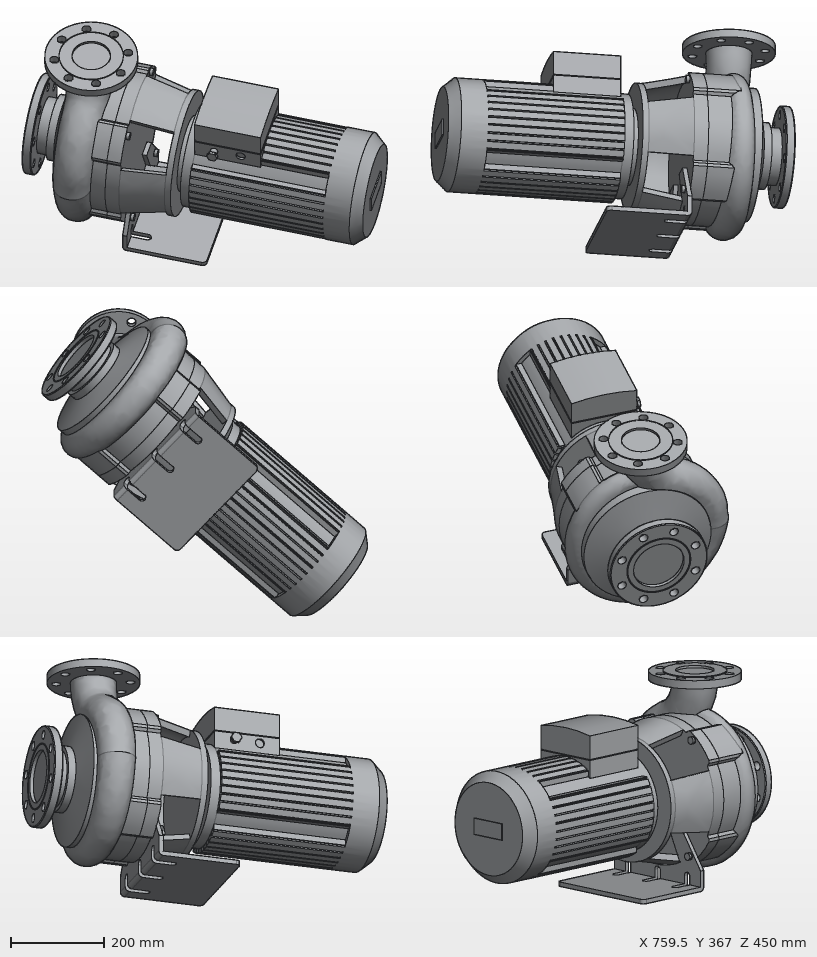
import cadquery as cq
import math


SUCTION_FACE_X = -125.0
SUCTION_NECK_X = -105.0
SUCTION_COLLAR_X = -81.0
COVER_HUB_X = -64.0
COVER_RIM_X = -47.0
CASING_BACK_X = 74.0
LANTERN_SEAT_X = 104.7
LANTERN_PLATE_X = 200.0
LANTERN_BACK_X = 213.4
MOTOR_FLANGE_X = 228.5
FINS_START_X = 249.7
COWL_START_X = 547.6
COWL_TAPER_X = 607.0
COWL_END_X = 631.5
MOTOR_END_X = 634.5

SUCTION_FLANGE_DIAMETER = 220.0
SUCTION_BOLT_CIRCLE = 180.0
SUCTION_FACE_DIAMETER = 144.3
FACE_GROOVE_WIDTH = 2.0
FACE_GROOVE_DEPTH = 1.0
SUCTION_BORE_DIAMETER = 114.3
SUCTION_BORE_DEPTH = 8.0
SUCTION_NECK_DIAMETER = 124.3
SUCTION_COLLAR_DIAMETER = 144.3
SUCTION_EDGE_CHAMFER = 2.0
DISCHARGE_FLANGE_DIAMETER = 200.0
DISCHARGE_BOLT_CIRCLE = 160.0
DISCHARGE_FACE_DIAMETER = 138.0
DISCHARGE_BORE_DIAMETER = 82.5
DISCHARGE_BORE_DEPTH = 5.0
DISCHARGE_FACE_Z = 250.0
RAISED_FACE_HEIGHT = 2.0
FLANGE_THICKNESS = 20.0
FLANGE_HOLE_DIAMETER = 19.0
FLANGE_HOLE_COUNT = 8

COVER_RIM_RADIUS = 143.8
CASING_RADIUS = 160.0
TONGUE_ANGLE = 100.0
VOLUTE_STATIONS = [
    (TONGUE_ANGLE, 174.0, 24.0),
    (45.0, 171.5, 27.0),
    (0.0, 170.0, 30.0),
    (-45.0, 176.5, 32.8),
    (-90.0, 183.5, 35.6),
    (-135.0, 190.25, 38.4),
    (-180.0, 196.98, DISCHARGE_BORE_DIAMETER / 2),
]
NECK_BEND_RADIUS = 140.0
NECK_TOP_RADIUS = 50.0
NECK_STATIONS_PER_BEND = 5

PAD_ANGLES = [45.0, 135.0, 225.0, 315.0]
PAD_FLANK = [(158.0, 16.6), (160.0, 16.6), (167.0, 15.2), (170.6, 13.2)]

LANTERN_END_RADIUS = 138.0
LANTERN_WALL = 15.0
WINDOW_HALF_ANGLE = 20.0
STRUT_HALF_ANGLE = 45.0 - WINDOW_HALF_ANGLE

FOOT_THICKNESS = 10.0
FOOT_HALF_WIDTH = 130.0
FOOT_BOTTOM_Z = -200.0
FOOT_END_X = 290.0
FOOT_CORNER_RADIUS = 10.0
FOOT_BEND_RADIUS = 9.9
FOOT_SHOULDER_Z = -154.6
FOOT_TOP_HALF_WIDTH = 70.6
FOOT_TOP_Z = -68.0
FOOT_SLOT_WIDTH = 16.0
FOOT_SLOT_SPACING = 89.0
FOOT_SLOT_TOP_Z = -163.8
FOOT_SLOT_END_X = 157.3

BOLT_Y = 97.0
BOLT_Z = 127.0
BOLT_HEAD_DIAMETER = 16.0
BOLT_HEAD_HEIGHT = 7.5
BOLT_SHANK_DIAMETER = 13.0

MOTOR_NECK_DIAMETER = 166.0
MOTOR_CORE_DIAMETER = 226.0
MOTOR_DIAMETER = 246.0
COWL_END_RADIUS = 102.0
BADGE_WIDTH = 84.0
BADGE_HEIGHT = 36.0
FIN_BANK_HALF_WIDTH = 70.0
FIN_GROOVE_WIDTH = 3.6
FIN_GROOVE_PITCH = 8.3
FIN_GROOVES_EACH_SIDE = 4
FIN_BANK_ANGLES = [0.0, 90.0, 180.0, 270.0]

BOX_LENGTH = 147.0
BOX_WIDTH = 148.0
BOX_SIDE_TOP_Z = 179.0
BOX_CROWN_Z = 186.0
BOX_LID_Z = 125.6
LID_GROOVE = 1.5
GLAND_Z = 108.5
GLAND_X = 293.5
GLAND_NECK_DIAMETER = 16.0
GLAND_NECK_LENGTH = 13.0
GLAND_HEX_ACROSS_CORNERS = 24.0
GLAND_HEX_LENGTH = 6.5
CABLE_HOLE_X = 352.3
CABLE_HOLE_DIAMETER = 20.0
CABLE_HOLE_DEPTH = 5.0


def disc(x_start, x_end, diameter):
    """Cylinder on the pump axis."""
    return cq.Workplane("YZ", origin=(x_start, 0, 0)).circle(diameter / 2).extrude(x_end - x_start)


def cross_box(x_start, x_end, y_start, y_end, z_start, z_end):
    """Box given by its limits."""
    size = (x_end - x_start, y_end - y_start, z_end - z_start)
    return cq.Workplane("XY", origin=(x_start, y_start, z_start)).box(*size, centered=False)


def polar_yz(radius, degrees):
    """Point at an angle from +Y toward +Z."""
    angle = math.radians(degrees)
    return (radius * math.cos(angle), radius * math.sin(angle))


def sector(x_start, x_end, inner_radius, outer_radius, mid_angle, half_angle):
    """Ring sector between two positions on the pump axis, with radial sides."""
    low, high = mid_angle - half_angle, mid_angle + half_angle
    outline = cq.Workplane("YZ", origin=(x_start, 0, 0)).moveTo(*polar_yz(inner_radius, low))
    outline = outline.lineTo(*polar_yz(outer_radius, low))
    outline = outline.threePointArc(polar_yz(outer_radius, mid_angle), polar_yz(outer_radius, high))
    outline = outline.lineTo(*polar_yz(inner_radius, high))
    if inner_radius > 0:
        outline = outline.threePointArc(polar_yz(inner_radius, mid_angle), polar_yz(inner_radius, low))
    return outline.close().extrude(x_end - x_start)


def pads(x_start, x_end):
    """Four raised pads around the pump axis."""
    crown_radius = PAD_FLANK[-1][0]
    solids = cq.Workplane("YZ")
    for mid_angle in PAD_ANGLES:
        rising = [polar_yz(radius, mid_angle - half) for radius, half in PAD_FLANK]
        falling = [polar_yz(radius, mid_angle + half) for radius, half in reversed(PAD_FLANK)]
        outline = cq.Workplane("YZ", origin=(x_start, 0, 0)).polyline(rising)
        outline = outline.threePointArc(polar_yz(crown_radius, mid_angle), falling[0])
        for point in falling[1:]:
            outline = outline.lineTo(*point)
        solids = solids.add(outline.close().extrude(x_end - x_start))
    return solids


def add_pads(body, x_start, x_end):
    for pad in pads(x_start, x_end).vals():
        body = body.union(cq.Workplane(pad))
    return body


def ring_section(y, z, radius, heading):
    """Circular tube section whose normal lies in the YZ plane at an angle from +Y."""
    angle = math.radians(heading)
    normal = (0, math.cos(angle), math.sin(angle))
    plane = cq.Plane(origin=(0, y, z), xDir=(1, 0, 0), normal=normal)
    return cq.Workplane(plane).circle(radius).wire().val()


def volute():
    """Tube that winds around the axis from the tongue over +Y and the bottom to -Y."""
    sections = []
    for turn, outer_radius, tube_radius in VOLUTE_STATIONS:
        y, z = polar_yz(outer_radius - tube_radius, turn)
        sections.append(ring_section(y, z, tube_radius, turn - 90))
    return cq.Workplane(cq.Solid.makeLoft(sections))


def discharge_neck():
    """S-shaped tube of two tangent bends from the volute end up to the discharge flange."""
    outer_radius, start_radius = VOLUTE_STATIONS[-1][1:]
    start_y = -(outer_radius - start_radius)
    end_z = DISCHARGE_FACE_Z - FLANGE_THICKNESS
    first_center_y = start_y + NECK_BEND_RADIUS
    second_radius = (end_z**2 + first_center_y**2 - NECK_BEND_RADIUS**2) / (
        2 * (NECK_BEND_RADIUS - first_center_y)
    )
    bend = math.degrees(math.atan2(end_z, second_radius + first_center_y))
    stations = []
    for step in range(NECK_STATIONS_PER_BEND + 1):
        turn = bend * step / NECK_STATIONS_PER_BEND
        y, z = polar_yz(NECK_BEND_RADIUS, 180 - turn)
        stations.append((first_center_y + y, z, 90 - turn))
    for step in range(1, NECK_STATIONS_PER_BEND + 1):
        turn = bend * (1 - step / NECK_STATIONS_PER_BEND)
        y, z = polar_yz(second_radius, -turn)
        stations.append((y - second_radius, end_z + z, 90 - turn))
    sections = []
    for index, (y, z, heading) in enumerate(stations):
        share = index / (len(stations) - 1)
        radius = start_radius + share * (NECK_TOP_RADIUS - start_radius)
        sections.append(ring_section(y, z, radius, heading))
    return cq.Workplane(cq.Solid.makeLoft(sections))


def flange_holes(plane, origin, bolt_circle):
    return (
        cq.Workplane(plane, origin=origin)
        .polarArray(bolt_circle / 2, 180 / FLANGE_HOLE_COUNT, 360, FLANGE_HOLE_COUNT)
        .circle(FLANGE_HOLE_DIAMETER / 2)
        .extrude(FLANGE_THICKNESS)
    )


def suction_side():
    flange = disc(SUCTION_FACE_X, SUCTION_NECK_X, SUCTION_FLANGE_DIAMETER)
    flange = flange.edges().chamfer(SUCTION_EDGE_CHAMFER)
    flange = flange.cut(flange_holes("YZ", (SUCTION_FACE_X, 0, 0), SUCTION_BOLT_CIRCLE))
    flange = flange.union(disc(SUCTION_NECK_X, SUCTION_COLLAR_X, SUCTION_NECK_DIAMETER))
    flange = flange.union(disc(SUCTION_COLLAR_X, COVER_HUB_X, SUCTION_COLLAR_DIAMETER))
    groove_floor_x = SUCTION_FACE_X + FACE_GROOVE_DEPTH
    inner_diameter = SUCTION_FACE_DIAMETER - 2 * FACE_GROOVE_WIDTH
    face_groove = disc(SUCTION_FACE_X, groove_floor_x, SUCTION_FACE_DIAMETER)
    face_groove = face_groove.cut(disc(SUCTION_FACE_X, groove_floor_x, inner_diameter))
    flange = flange.cut(face_groove)
    bore = disc(SUCTION_FACE_X, SUCTION_FACE_X + SUCTION_BORE_DEPTH, SUCTION_BORE_DIAMETER)
    return flange.cut(bore)


def discharge_flange():
    base_z = DISCHARGE_FACE_Z - FLANGE_THICKNESS
    rim_height = FLANGE_THICKNESS - RAISED_FACE_HEIGHT
    base = cq.Workplane("XY", origin=(0, 0, base_z))
    flange = base.circle(DISCHARGE_FLANGE_DIAMETER / 2).extrude(rim_height)
    flange = flange.union(base.circle(DISCHARGE_FACE_DIAMETER / 2).extrude(FLANGE_THICKNESS))
    flange = flange.cut(flange_holes("XY", (0, 0, base_z), DISCHARGE_BOLT_CIRCLE))
    bore = cq.Workplane("XY", origin=(0, 0, DISCHARGE_FACE_Z - DISCHARGE_BORE_DEPTH))
    return flange.cut(bore.circle(DISCHARGE_BORE_DIAMETER / 2).extrude(DISCHARGE_BORE_DEPTH))


def make_casing():
    profile = [
        (COVER_HUB_X, 0),
        (COVER_HUB_X, SUCTION_COLLAR_DIAMETER / 2),
        (COVER_RIM_X, COVER_RIM_RADIUS),
        (0, COVER_RIM_RADIUS),
        (0, CASING_RADIUS),
        (CASING_BACK_X, CASING_RADIUS),
        (CASING_BACK_X, 0),
    ]
    body = cq.Workplane("XY").polyline(profile).close().revolve(360, (0, 0, 0), (1, 0, 0))
    body = add_pads(body, 0, CASING_BACK_X)
    body = body.union(volute().union(discharge_neck()))
    body = body.union(suction_side())
    return body.union(discharge_flange())


def bolt_shanks(x_start, x_end):
    centers = [(y, z) for y in (-BOLT_Y, BOLT_Y) for z in (-BOLT_Z, BOLT_Z)]
    plane = cq.Workplane("YZ", origin=(x_start, 0, 0)).pushPoints(centers)
    return plane.circle(BOLT_SHANK_DIAMETER / 2).extrude(x_end - x_start)


def make_lantern():
    outer = [
        (CASING_BACK_X, 0),
        (CASING_BACK_X, CASING_RADIUS),
        (LANTERN_SEAT_X, CASING_RADIUS),
        (LANTERN_PLATE_X, LANTERN_END_RADIUS),
        (LANTERN_BACK_X, LANTERN_END_RADIUS),
        (LANTERN_BACK_X, 0),
    ]
    hollow = [
        (LANTERN_SEAT_X, 0),
        (LANTERN_SEAT_X, CASING_RADIUS - LANTERN_WALL),
        (LANTERN_PLATE_X, LANTERN_END_RADIUS - LANTERN_WALL),
        (LANTERN_PLATE_X, 0),
    ]
    body = cq.Workplane("XY").polyline(outer).close().revolve(360, (0, 0, 0), (1, 0, 0))
    body = body.cut(cq.Workplane("XY").polyline(hollow).close().revolve(360, (0, 0, 0), (1, 0, 0)))
    for angle in PAD_ANGLES:
        window = sector(LANTERN_SEAT_X, LANTERN_PLATE_X, 0, 2 * CASING_RADIUS, angle, WINDOW_HALF_ANGLE)
        body = body.cut(window)
    body = add_pads(body, CASING_BACK_X, LANTERN_SEAT_X)
    return body.cut(bolt_shanks(CASING_BACK_X, LANTERN_SEAT_X))


def foot_slot(center_y):
    """Slot that runs up the leg and along the plate through the bend."""
    radius = FOOT_SLOT_WIDTH / 2
    leg_end_z = FOOT_SLOT_TOP_Z - radius
    plate_end_x = FOOT_SLOT_END_X - radius
    low_y, high_y = center_y - radius, center_y + radius
    leg_back_x = LANTERN_SEAT_X + FOOT_THICKNESS
    plate_top_z = FOOT_BOTTOM_Z + FOOT_THICKNESS
    leg_cut = cross_box(LANTERN_SEAT_X, leg_back_x, low_y, high_y, FOOT_BOTTOM_Z, leg_end_z)
    leg_end = cq.Workplane("YZ", origin=(LANTERN_SEAT_X, center_y, leg_end_z))
    plate_cut = cross_box(LANTERN_SEAT_X, plate_end_x, low_y, high_y, FOOT_BOTTOM_Z, plate_top_z)
    plate_end = cq.Workplane("XY", origin=(plate_end_x, center_y, FOOT_BOTTOM_Z))
    return (
        leg_cut.union(leg_end.circle(radius).extrude(FOOT_THICKNESS))
        .union(plate_cut)
        .union(plate_end.circle(radius).extrude(FOOT_THICKNESS))
    )


def make_foot():
    leg_outline = [
        (-FOOT_HALF_WIDTH, FOOT_BOTTOM_Z),
        (-FOOT_HALF_WIDTH, FOOT_SHOULDER_Z),
        (-FOOT_TOP_HALF_WIDTH, FOOT_TOP_Z),
        (FOOT_TOP_HALF_WIDTH, FOOT_TOP_Z),
        (FOOT_HALF_WIDTH, FOOT_SHOULDER_Z),
        (FOOT_HALF_WIDTH, FOOT_BOTTOM_Z),
    ]
    leg_back_x = LANTERN_SEAT_X + FOOT_THICKNESS
    leg = cq.Workplane("YZ", origin=(LANTERN_SEAT_X, 0, 0)).polyline(leg_outline).close()
    leg = leg.extrude(FOOT_THICKNESS)
    leg = leg.cut(sector(LANTERN_SEAT_X, leg_back_x, 0, CASING_RADIUS, -90, STRUT_HALF_ANGLE))
    leg = leg.cut(bolt_shanks(LANTERN_SEAT_X, leg_back_x))
    plate = cross_box(
        LANTERN_SEAT_X,
        FOOT_END_X,
        -FOOT_HALF_WIDTH,
        FOOT_HALF_WIDTH,
        FOOT_BOTTOM_Z,
        FOOT_BOTTOM_Z + FOOT_THICKNESS,
    )
    plate = plate.edges("|Z and >X").fillet(FOOT_CORNER_RADIUS)
    foot = leg.union(plate)
    foot = foot.edges("|Y and <X and <Z").fillet(FOOT_BEND_RADIUS)
    for center_y in (-FOOT_SLOT_SPACING, 0, FOOT_SLOT_SPACING):
        foot = foot.cut(foot_slot(center_y))
    return foot


def make_bolt(y, z):
    seat_x = LANTERN_SEAT_X
    if z < 0:
        seat_x += FOOT_THICKNESS
    shank = disc(CASING_BACK_X, seat_x, BOLT_SHANK_DIAMETER)
    head = disc(seat_x, seat_x + BOLT_HEAD_HEIGHT, BOLT_HEAD_DIAMETER)
    return shank.union(head).translate((0, y, z))


def fin_valleys():
    """Space between the fins: radial grooves in each bank and a clear corner between banks."""
    core_radius = MOTOR_CORE_DIAMETER / 2
    half_groove = math.degrees(FIN_GROOVE_WIDTH / MOTOR_DIAMETER)
    corner = cross_box(
        FINS_START_X,
        COWL_START_X,
        FIN_BANK_HALF_WIDTH,
        MOTOR_DIAMETER,
        FIN_BANK_HALF_WIDTH,
        MOTOR_DIAMETER,
    )
    corner = corner.cut(disc(FINS_START_X, COWL_START_X, MOTOR_CORE_DIAMETER))
    valleys = []
    for bank_angle in FIN_BANK_ANGLES:
        valleys.append(corner.rotate((0, 0, 0), (1, 0, 0), bank_angle))
        for index in range(-FIN_GROOVES_EACH_SIDE, FIN_GROOVES_EACH_SIDE + 1):
            angle = bank_angle + index * FIN_GROOVE_PITCH
            groove = sector(FINS_START_X, COWL_START_X, core_radius, MOTOR_DIAMETER, angle, half_groove)
            valleys.append(groove)
    return valleys


def make_motor():
    profile = [
        (LANTERN_BACK_X, 0),
        (LANTERN_BACK_X, MOTOR_NECK_DIAMETER / 2),
        (MOTOR_FLANGE_X, MOTOR_NECK_DIAMETER / 2),
        (MOTOR_FLANGE_X, MOTOR_CORE_DIAMETER / 2),
        (FINS_START_X, MOTOR_CORE_DIAMETER / 2),
        (FINS_START_X, MOTOR_DIAMETER / 2),
        (COWL_TAPER_X, MOTOR_DIAMETER / 2),
        (COWL_END_X, COWL_END_RADIUS),
        (COWL_END_X, 0),
    ]
    motor = cq.Workplane("XY").polyline(profile).close().revolve(360, (0, 0, 0), (1, 0, 0))
    for valley in fin_valleys():
        motor = motor.cut(valley)
    badge = cq.Workplane("YZ", origin=(COWL_END_X, 0, 0)).rect(BADGE_WIDTH, BADGE_HEIGHT)
    motor = motor.union(badge.extrude(MOTOR_END_X - COWL_END_X))
    return motor.cut(box_envelope())


def box_envelope():
    half_width = BOX_WIDTH / 2
    outline = cq.Workplane("YZ", origin=(FINS_START_X, 0, 0)).moveTo(-half_width, 0)
    outline = outline.lineTo(-half_width, BOX_SIDE_TOP_Z)
    outline = outline.threePointArc((0, BOX_CROWN_Z), (half_width, BOX_SIDE_TOP_Z))
    block = outline.lineTo(half_width, 0).close().extrude(BOX_LENGTH)
    return block.cut(disc(FINS_START_X, FINS_START_X + BOX_LENGTH, MOTOR_CORE_DIAMETER))


def lid_groove():
    middle = (FINS_START_X + BOX_LENGTH / 2, 0, BOX_LID_Z)
    band = cq.Workplane("XY", origin=middle).box(BOX_LENGTH, BOX_WIDTH, LID_GROOVE)
    inner = (BOX_LENGTH - 2 * LID_GROOVE, BOX_WIDTH - 2 * LID_GROOVE, LID_GROOVE)
    return band.cut(cq.Workplane("XY", origin=middle).box(*inner))


def make_terminal_box():
    box_front = -BOX_WIDTH / 2
    box = box_envelope().cut(lid_groove())
    gland = cq.Workplane("XZ", origin=(GLAND_X, box_front, GLAND_Z))
    box = box.union(gland.circle(GLAND_NECK_DIAMETER / 2).extrude(GLAND_NECK_LENGTH))
    hexagon = gland.workplane(offset=GLAND_NECK_LENGTH).polygon(6, GLAND_HEX_ACROSS_CORNERS)
    box = box.union(hexagon.extrude(GLAND_HEX_LENGTH))
    hole = cq.Workplane("XZ", origin=(CABLE_HOLE_X, box_front, GLAND_Z)).circle(CABLE_HOLE_DIAMETER / 2)
    return box.cut(hole.extrude(-CABLE_HOLE_DEPTH))


casing = make_casing()
lantern = make_lantern()
foot = make_foot()
bolts = [make_bolt(y, z) for y in (-BOLT_Y, BOLT_Y) for z in (-BOLT_Z, BOLT_Z)]
motor = make_motor()
terminal_box = make_terminal_box()

bodies = [casing, lantern, foot, motor, terminal_box, *bolts]
result = cq.Compound.makeCompound([body.val() for body in bodies])